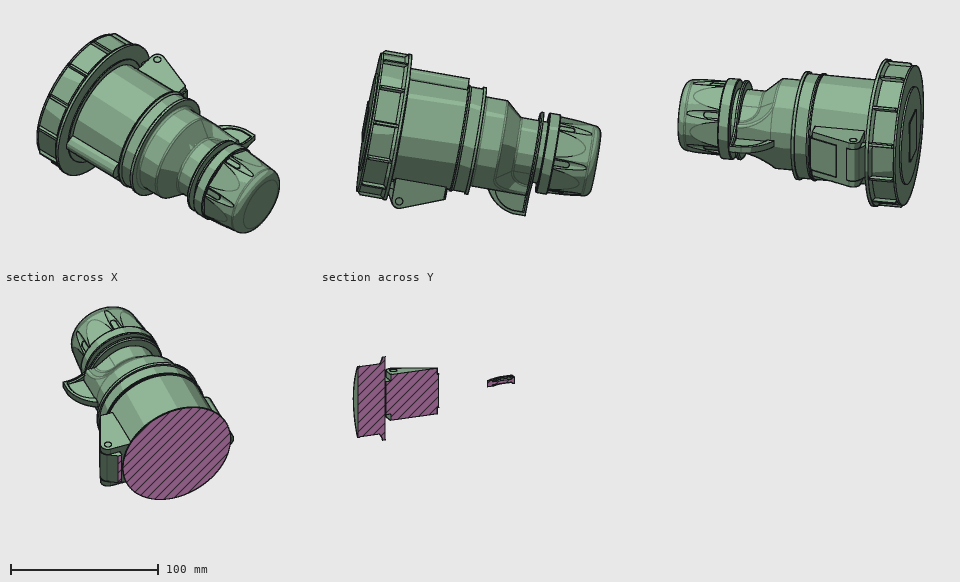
import cadquery as cq
import math


OVERLAP = 0.5

LID_DISC_RADIUS = 66.4 / 2
LID_PLATE_HEIGHT = 0.4
LID_DOME_START_X = 1.6
RING_FRONT_X = 2.8
RING_FRONT_RADIUS = 47.55
PANEL_RADIUS = 47.4
PANEL_START_X = 4.1
PANEL_END_X = 18.9
RIB_RADIUS = 49.5
RIB_START_X = 4.1
RIB_CHAMFER = 1.3
RIB_TOP_WIDTH = 1.6
RIB_ROOT_WIDTH = 3.0
RIB_COUNT = 12
FIRST_RIB_ANGLE = 17.0
RING_FLANGE_RADIUS = 100 / 2
RING_FLANGE_START_X = 21.1
RING_FLANGE_END_X = 23.2
RING_BACK_RADIUS = 39.4
RING_BACK_END_X = 24.1

PLATE_WIDTH = 22.1
PLATE_HEIGHT = 30.1
PLATE_CORNER_RADIUS = 1.8

BODY_RADIUS = 71 / 2
BEAD_RADIUS = 36.5
BEAD_START_X = 64.4
BEAD_FLAT_END_X = 65.3
BEAD_END_X = 66.7
BODY_FLANGE_RADIUS = 36.7
BODY_FLANGE_START_X = 74.9
BODY_FLANGE_END_X = 76.9
BARREL_RADIUS = 30.6
BARREL_FILLET = 1.6
SHOULDER_FILLET = 2.0
SHOULDER_START_X = 92.5
SHOULDER_END_X = 103.5
NECK_RADIUS = 20.95
COLLAR_RADIUS = 26.9
COLLAR_START_X = 115.9
COLLAR_CHAMFER = 0.9
COLLAR_END_X = 118.1

NUT_RADIUS = 54.6 / 2
NUT_START_X = 121.9
NUT_END_X = 129.7
NUT_CHAMFER = 0.6
GRIP_START_RADIUS = 26.4
GRIP_END_RADIUS = 24.2
GRIP_BULGE = 0.25
GRIP_END_X = 152.5
GRIP_ROUND_START_X = 153.6
END_FACE_RADIUS = 18.6
END_ROUND_RADIUS = 5.6
TOTAL_LENGTH = 158.6
GRIP_COUNT = 6
GRIP_FLAT_DISTANCE = 24.65
FLUTE_WIDTH = 7.0
FLUTE_DEPTH = 2.1
FLUTE_TIP_X = 151.8
NUB_WIDTH = 4.0
NUB_TIP_X = 140.3
NUB_RADIUS = 25.1

KEY_RADIUS = 6.0
KEY_END_X = 64.1

PIN_X = 31.9
PIN_Y = 46.8
PIN_RADIUS = 5 / 2
PIN_PROUD = 0.15
LUG_RADIUS = 5.0
LUG_HALF_WIDTH = 16.5
LUG_FRONT_X = 27.0
LUG_BACK_X = 61.5
LUG_BACK_Y = 40.3
OVERALL_WIDTH_Y = 102.24
TONGUE_RADIUS = OVERALL_WIDTH_Y - RING_FLANGE_RADIUS - PIN_Y
TONGUE_HALF_WIDTH = 12.0
TONGUE_FRONT_X = 23.4
TONGUE_LOW_Y = 40.0
TONGUE_HIGH_Y = 42.8
LIP_START_X = 43.3
LIP_BACK_X = 62.6
LIP_HEIGHT = 0.9

HUMP_EDGE_ANGLE = 36.0

WING_FRONT_X = 89.7
WING_CREST_X = 109.8
WING_TOP_Y = 44.7
WING_CURVE_BULGE = 3.1
WING_RIM_HALF_WIDTH = 2.2
WING_RIM_FRONT_THICKNESS = 5.0
WING_RIM_TOP_THICKNESS = 2.2
WING_WEB_HALF_WIDTH = 1.2
TAB_FILLET = 20.0


def revolve_about_x(profile):
    return profile.revolve(360, (0, 0, 0), (1, 0, 0))


def cylinder_x(radius, start_x, end_x, y=0):
    return cq.Workplane("YZ", origin=(start_x, y, 0)).circle(radius).extrude(end_x - start_x)


def slab(profile, half_width):
    """Extrude an XY outline evenly to both sides of the Z = 0 plane."""
    return profile.extrude(half_width, both=True)


def make_lid_and_ring():
    dome_edge = (LID_DOME_START_X, LID_DISC_RADIUS)
    dome_height = LID_DOME_START_X - LID_PLATE_HEIGHT
    sphere_radius = (LID_DISC_RADIUS**2 + dome_height**2) / (2 * dome_height)
    middle_radius = LID_DISC_RADIUS / 2
    middle_x = LID_PLATE_HEIGHT + sphere_radius - math.sqrt(sphere_radius**2 - middle_radius**2)
    profile = (
        cq.Workplane("XY")
        .moveTo(LID_PLATE_HEIGHT, 0)
        .threePointArc((middle_x, middle_radius), dome_edge)
        .lineTo(RING_FRONT_X, LID_DISC_RADIUS)
        .lineTo(RING_FRONT_X, RING_FRONT_RADIUS)
        .lineTo(PANEL_START_X, RING_FRONT_RADIUS)
        .lineTo(PANEL_START_X, PANEL_RADIUS)
        .lineTo(PANEL_END_X, PANEL_RADIUS)
        .lineTo(RING_FLANGE_START_X, RIB_RADIUS)
        .lineTo(RING_FLANGE_START_X, RING_FLANGE_RADIUS)
        .lineTo(RING_FLANGE_END_X, RING_FLANGE_RADIUS)
        .lineTo(RING_FLANGE_END_X, RING_BACK_RADIUS)
        .lineTo(RING_BACK_END_X, RING_BACK_RADIUS)
        .lineTo(RING_BACK_END_X, 0)
        .close()
    )
    return revolve_about_x(profile)


def make_ring_ribs():
    root_radius = PANEL_RADIUS - OVERLAP
    outline = [
        (root_radius, -RIB_ROOT_WIDTH / 2),
        (RIB_RADIUS, -RIB_TOP_WIDTH / 2),
        (RIB_RADIUS, RIB_TOP_WIDTH / 2),
        (root_radius, RIB_ROOT_WIDTH / 2),
    ]
    length = RING_FLANGE_START_X + OVERLAP - RIB_START_X
    rib = cq.Workplane("YZ", origin=(RIB_START_X, 0, 0)).polyline(outline).close().extrude(length)
    rib = rib.faces("<X").edges(">Y").chamfer(RIB_CHAMFER)
    angles = [FIRST_RIB_ANGLE + index * 360 / RIB_COUNT for index in range(RIB_COUNT)]
    return [rib.rotate((0, 0, 0), (1, 0, 0), angle) for angle in angles]


def make_name_plate():
    """Flat rounded rectangle standing on the crown of the lid dome."""
    return (
        cq.Workplane("YZ")
        .rect(PLATE_WIDTH, PLATE_HEIGHT)
        .extrude(RING_FRONT_X)
        .edges("|X")
        .fillet(PLATE_CORNER_RADIUS)
    )


def make_main_body():
    start_x = RING_BACK_END_X - OVERLAP
    fillet_x = BODY_FLANGE_END_X + BARREL_FILLET
    profile = (
        cq.Workplane("XY")
        .moveTo(start_x, 0)
        .lineTo(start_x, BODY_RADIUS)
        .lineTo(BEAD_START_X, BODY_RADIUS)
        .lineTo(BEAD_START_X, BEAD_RADIUS)
        .lineTo(BEAD_FLAT_END_X, BEAD_RADIUS)
        .lineTo(BEAD_END_X, BODY_RADIUS)
        .lineTo(BODY_FLANGE_START_X, BODY_RADIUS)
        .lineTo(BODY_FLANGE_START_X, BODY_FLANGE_RADIUS)
        .lineTo(BODY_FLANGE_END_X, BODY_FLANGE_RADIUS)
        .lineTo(BODY_FLANGE_END_X, BARREL_RADIUS + BARREL_FILLET)
        .radiusArc((fillet_x, BARREL_RADIUS), -BARREL_FILLET)
        .lineTo(fillet_x, 0)
        .close()
    )
    return revolve_about_x(profile)


def make_shoulder_cutter(side):
    """Clearance that turns the shoulder round at one edge of the hump, about a radial axis."""
    slope = (SHOULDER_END_X - SHOULDER_START_X) / (BARREL_RADIUS - NECK_RADIUS)
    inner_turn = COLLAR_START_X - SHOULDER_END_X
    height = BARREL_RADIUS + OVERLAP - NECK_RADIUS
    edge_angle = math.radians(HUMP_EDGE_ANGLE)
    axis = cq.Vector(0, math.sin(edge_angle), side * math.cos(edge_angle))
    floor = cq.Vector(COLLAR_START_X, 0, 0) + axis * NECK_RADIUS
    return cq.Workplane(cq.Solid.makeCone(inner_turn, inner_turn + slope * height, height, floor, axis))


def make_hump():
    """Barrel-sized sector on the +Y side that carries the barrel on to the collar."""
    start_x = SHOULDER_START_X
    barrel = cylinder_x(BARREL_RADIUS, start_x, COLLAR_START_X)
    reach = 2 * BARREL_RADIUS
    edge_angle = math.radians(HUMP_EDGE_ANGLE)
    edge_y = reach * math.sin(edge_angle)
    edge_z = reach * math.cos(edge_angle)
    sector = (
        cq.Workplane("YZ", origin=(start_x, 0, 0))
        .polyline([(0, 0), (edge_y, edge_z), (reach, edge_z), (reach, -edge_z), (edge_y, -edge_z)])
        .close()
        .extrude(COLLAR_START_X - start_x)
    )
    hump = barrel.intersect(sector)
    return hump.cut(make_shoulder_cutter(1)).cut(make_shoulder_cutter(-1))


def make_barrel_and_neck():
    """Barrel tapering to the neck, except on the +Y side where the hump keeps its full radius."""
    start_x = BODY_FLANGE_END_X + BARREL_FILLET
    profile = (
        cq.Workplane("XY")
        .moveTo(start_x, 0)
        .lineTo(start_x, BARREL_RADIUS)
        .lineTo(SHOULDER_START_X, BARREL_RADIUS)
        .lineTo(SHOULDER_END_X, NECK_RADIUS)
        .lineTo(COLLAR_START_X, NECK_RADIUS)
        .lineTo(COLLAR_START_X, 0)
        .close()
    )
    barrel = revolve_about_x(profile).union(make_hump())
    outer_edge = cq.selectors.NearestToPointSelector((SHOULDER_START_X, -BARREL_RADIUS, 0))
    inner_edge = cq.selectors.NearestToPointSelector((SHOULDER_END_X, -NECK_RADIUS, 0))
    return barrel.edges(inner_edge).fillet(SHOULDER_FILLET).edges(outer_edge).fillet(SHOULDER_FILLET)


def make_collar():
    """Disc with a narrow tab on the +Y side that closes the back of the wing, and the neck behind it."""
    thickness = COLLAR_END_X - COLLAR_START_X
    disc = cylinder_x(COLLAR_RADIUS, COLLAR_START_X, COLLAR_END_X)
    tab = cq.Workplane("XY", origin=(COLLAR_START_X, 0, 0)).box(
        thickness, WING_TOP_Y, 2 * WING_RIM_HALF_WIDTH, centered=(False, False, True)
    )
    middle_x = COLLAR_START_X + thickness / 2
    plate = disc.union(tab)
    for side in (1, -1):
        corner = cq.selectors.NearestToPointSelector((middle_x, COLLAR_RADIUS, side * WING_RIM_HALF_WIDTH))
        plate = plate.edges("|X").edges(corner).fillet(TAB_FILLET)
    plate = plate.faces("<X").edges().chamfer(COLLAR_CHAMFER)
    return plate.union(cylinder_x(NECK_RADIUS, COLLAR_END_X, NUT_START_X))


def make_gland_nut():
    grip_middle_x = (NUT_END_X + GRIP_END_X) / 2
    grip_middle_radius = (GRIP_START_RADIUS + GRIP_END_RADIUS) / 2 + GRIP_BULGE
    profile = (
        cq.Workplane("XY")
        .moveTo(NUT_START_X, 0)
        .lineTo(NUT_START_X, NUT_RADIUS - NUT_CHAMFER)
        .lineTo(NUT_START_X + NUT_CHAMFER, NUT_RADIUS)
        .lineTo(NUT_END_X - NUT_CHAMFER, NUT_RADIUS)
        .lineTo(NUT_END_X, NUT_RADIUS - NUT_CHAMFER)
        .lineTo(NUT_END_X, GRIP_START_RADIUS)
        .threePointArc((grip_middle_x, grip_middle_radius), (GRIP_END_X, GRIP_END_RADIUS))
        .lineTo(GRIP_ROUND_START_X, GRIP_END_RADIUS)
        .radiusArc((TOTAL_LENGTH, END_FACE_RADIUS), END_ROUND_RADIUS)
        .lineTo(TOTAL_LENGTH, 0)
        .close()
    )
    return revolve_about_x(profile)


def make_flute_cutter():
    """Tapering round groove along the top of the grip, with a round-ended nub left standing in it."""
    half_width = FLUTE_WIDTH / 2
    flute_radius = (half_width**2 + FLUTE_DEPTH**2) / (2 * FLUTE_DEPTH)
    start_center = GRIP_START_RADIUS - FLUTE_DEPTH + flute_radius
    tip_center = GRIP_END_RADIUS + flute_radius
    axis = cq.Vector(FLUTE_TIP_X - NUT_END_X, 0, tip_center - start_center)
    start = cq.Vector(NUT_END_X, 0, start_center)
    cutter = cq.Workplane(cq.Solid.makeCylinder(flute_radius, axis.Length, start, axis))
    cutter = cutter.intersect(cylinder_x(NUT_RADIUS + flute_radius, NUT_END_X, TOTAL_LENGTH))
    straight = NUB_TIP_X - NUB_WIDTH / 2 - NUT_END_X
    nub = (
        cq.Workplane("XY", origin=(NUT_END_X, 0, 0))
        .moveTo(0, -NUB_WIDTH / 2)
        .lineTo(straight, -NUB_WIDTH / 2)
        .radiusArc((straight, NUB_WIDTH / 2), -NUB_WIDTH / 2)
        .lineTo(0, NUB_WIDTH / 2)
        .close()
        .extrude(NUB_RADIUS)
    )
    return cutter.cut(nub)


def cut_grip(nut):
    flute = make_flute_cutter()
    flat_depth = NUT_RADIUS - GRIP_FLAT_DISTANCE
    flat = cq.Workplane("XY", origin=(NUT_END_X, 0, GRIP_FLAT_DISTANCE)).box(
        GRIP_END_X - NUT_END_X, 2 * NUT_RADIUS, flat_depth, centered=(False, True, False)
    )
    pitch = 360 / GRIP_COUNT
    for index in range(GRIP_COUNT):
        nut = nut.cut(flute.rotate((0, 0, 0), (1, 0, 0), index * pitch))
        nut = nut.cut(flat.rotate((0, 0, 0), (1, 0, 0), (index + 0.5) * pitch))
    return nut


def make_key_rib():
    return cylinder_x(KEY_RADIUS, RING_BACK_END_X - OVERLAP, KEY_END_X, -BODY_RADIUS)


def tangent_point(x, y, radius, side):
    """Point where a line from (x, y) touches the circle of this radius about the hinge pin."""
    distance = math.hypot(x - PIN_X, y - PIN_Y)
    angle = math.atan2(y - PIN_Y, x - PIN_X) + side * math.acos(radius / distance)
    return (PIN_X + radius * math.cos(angle), PIN_Y + radius * math.sin(angle))


def make_hinge():
    base_y = math.sqrt(BODY_RADIUS**2 - LUG_HALF_WIDTH**2)
    lug_touch = tangent_point(LUG_BACK_X, LUG_BACK_Y, LUG_RADIUS, 1)
    lugs = slab(
        cq.Workplane("XY")
        .moveTo(LUG_FRONT_X, base_y)
        .lineTo(LUG_FRONT_X, PIN_Y)
        .threePointArc((PIN_X, PIN_Y + LUG_RADIUS), lug_touch)
        .lineTo(LUG_BACK_X, LUG_BACK_Y)
        .lineTo(LUG_BACK_X, base_y)
        .close(),
        LUG_HALF_WIDTH,
    )

    tongue_touch = tangent_point(TONGUE_FRONT_X, TONGUE_HIGH_Y, TONGUE_RADIUS, -1)
    tongue = slab(
        cq.Workplane("XY")
        .moveTo(PIN_X, TONGUE_LOW_Y)
        .lineTo(TONGUE_FRONT_X, TONGUE_LOW_Y)
        .lineTo(TONGUE_FRONT_X, TONGUE_HIGH_Y)
        .lineTo(*tongue_touch)
        .radiusArc((PIN_X + TONGUE_RADIUS, PIN_Y), TONGUE_RADIUS)
        .close(),
        TONGUE_HALF_WIDTH,
    )

    slope = (lug_touch[1] - LUG_BACK_Y) / (LUG_BACK_X - lug_touch[0])
    lip_start_y = LUG_BACK_Y + slope * (LUG_BACK_X - LIP_START_X)
    lip_end_y = LUG_BACK_Y - slope * (LIP_BACK_X - LUG_BACK_X)
    lip = slab(
        cq.Workplane("XY")
        .moveTo(LIP_START_X, base_y)
        .lineTo(LIP_START_X, lip_start_y + LIP_HEIGHT)
        .lineTo(LIP_BACK_X, lip_end_y + LIP_HEIGHT)
        .lineTo(LIP_BACK_X, base_y)
        .close(),
        TONGUE_HALF_WIDTH,
    )
    pin_axis = cq.Workplane("XY").center(PIN_X, PIN_Y)
    pin = slab(pin_axis.circle(PIN_RADIUS), LUG_HALF_WIDTH + PIN_PROUD)
    return lugs.union(tongue).union(lip).union(pin)


def make_wing_plate(front_inset, top_inset, half_width):
    """Plate with a curved front that rises from the barrel to a flat top ending in the collar."""
    start = (WING_FRONT_X + front_inset, BARREL_RADIUS - OVERLAP)
    crest = (WING_CREST_X, WING_TOP_Y - top_inset)
    run = crest[0] - start[0]
    rise = crest[1] - start[1]
    chord = math.hypot(run, rise)
    bulge_point = (
        (start[0] + crest[0]) / 2 - WING_CURVE_BULGE * rise / chord,
        (start[1] + crest[1]) / 2 + WING_CURVE_BULGE * run / chord,
    )
    return slab(
        cq.Workplane("XY")
        .moveTo(*start)
        .threePointArc(bulge_point, crest)
        .lineTo(COLLAR_END_X, crest[1])
        .lineTo(COLLAR_END_X, start[1])
        .close(),
        half_width,
    )


def make_wing():
    opening = (WING_RIM_FRONT_THICKNESS, WING_RIM_TOP_THICKNESS)
    rim = make_wing_plate(0, 0, WING_RIM_HALF_WIDTH).cut(make_wing_plate(*opening, WING_RIM_HALF_WIDTH))
    web = make_wing_plate(*opening, WING_WEB_HALF_WIDTH)
    return rim.union(web)


body = make_lid_and_ring().union(make_name_plate())
for ring_rib in make_ring_ribs():
    body = body.union(ring_rib)
body = body.union(make_main_body())
body = body.union(make_barrel_and_neck())
body = body.union(make_collar())
body = body.union(make_key_rib())
body = body.union(make_hinge())
body = body.union(make_wing())
result = body.union(cut_grip(make_gland_nut()))